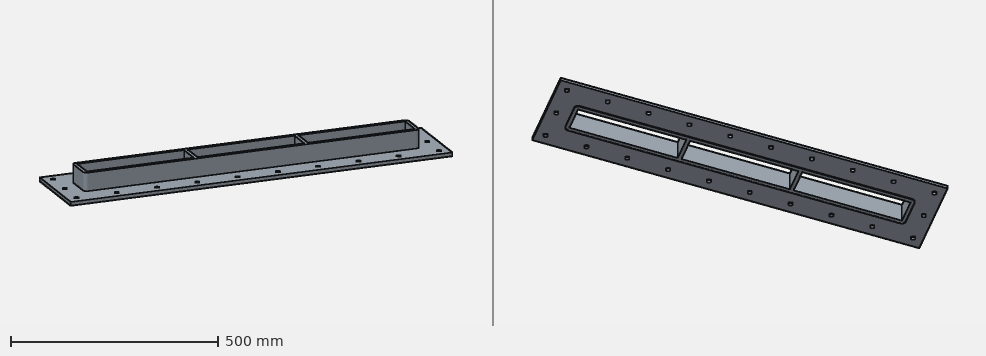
import cadquery as cq

plate_width = 200.5
plate_length = 994.0
plate_thickness = 10.0

plate_margin = 60.0
frame_width = plate_width - 2 * plate_margin
frame_length = plate_length - 2 * plate_margin
frame_height = 60.0
frame_corner_radius = 10.0
wall_thickness = 10.0
frame_drop = 3.0

opening_count = 3
rib_thickness = wall_thickness
opening_width = frame_width - 2 * wall_thickness
total_rib_thickness = (opening_count - 1) * rib_thickness
opening_length = (frame_length - 2 * wall_thickness - total_rib_thickness) / opening_count
opening_pitch = opening_length + rib_thickness

hole_diameter = 10.5
hole_edge_distance = 25.0
holes_per_side = 10
hole_span_x = plate_width - 2 * hole_edge_distance
hole_span_y = plate_length - 2 * hole_edge_distance
hole_pitch_y = hole_span_y / (holes_per_side - 1)


def make_plate():
    """Flat flange, with its underside at Z = 0."""
    return cq.Workplane("XY").box(
        plate_width, plate_length, plate_thickness, centered=(True, True, False)
    )


def make_frame():
    """Solid block of the frame with rounded vertical corners."""
    return (
        cq.Workplane("XY", origin=(0, 0, -frame_drop))
        .rect(frame_width, frame_length)
        .extrude(frame_height)
        .edges("|Z")
        .fillet(frame_corner_radius)
    )


def make_openings():
    """Row of sharp-cornered through openings along Y."""
    return (
        cq.Workplane("XY", origin=(0, 0, -frame_drop))
        .rarray(1, opening_pitch, 1, opening_count)
        .rect(opening_width, opening_length)
        .extrude(frame_height)
    )


def make_mounting_holes():
    """A column of holes along each long side and one hole midway along each short side."""
    side_holes = (
        cq.Workplane("XY")
        .rarray(hole_span_x, hole_pitch_y, 2, holes_per_side)
        .circle(hole_diameter / 2)
        .extrude(plate_thickness)
    )
    end_holes = (
        cq.Workplane("XY")
        .rarray(1, hole_span_y, 1, 2)
        .circle(hole_diameter / 2)
        .extrude(plate_thickness)
    )
    return side_holes.add(end_holes).combine()


body = make_plate().union(make_frame())
result = body.cut(make_openings()).cut(make_mounting_holes())